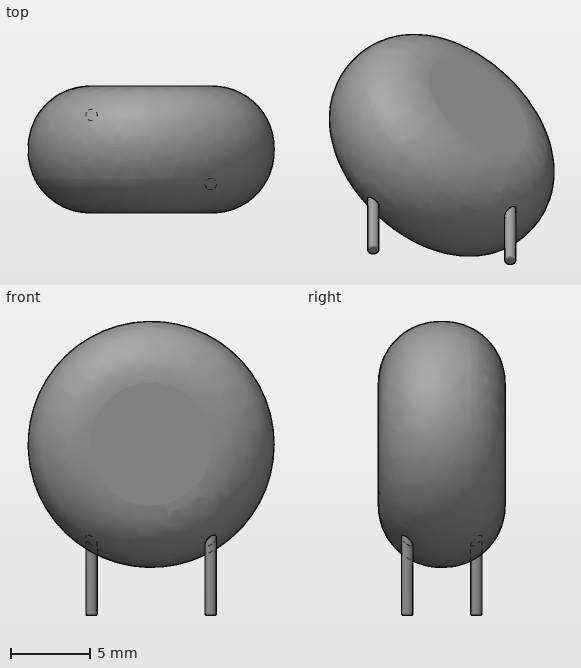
import cadquery as cq

body_diameter = 15.5
body_thickness = 8.0
rim_band_width = 0.2
rim_radius = (body_thickness - rim_band_width) / 2

lead_diameter = 0.72
lead_pitch_x = 7.5
lead_pitch_y = 4.35
lead_length_below_body = 3.03
lead_tip_fillet = 0.13

body_center_z = body_diameter / 2


def make_body():
    """Disc with both rims rounded, leaving a narrow cylindrical band around the middle."""
    disc = (
        cq.Workplane("XZ", origin=(0, 0, body_center_z))
        .circle(body_diameter / 2)
        .extrude(body_thickness / 2, both=True)
    )
    return disc.edges("%CIRCLE").fillet(rim_radius)


def make_lead(x, y):
    """Straight round lead from inside the body down to its rounded tip."""
    return (
        cq.Workplane("XY", origin=(x, y, -lead_length_below_body))
        .circle(lead_diameter / 2)
        .extrude(lead_length_below_body + body_center_z)
        .faces("<Z")
        .edges()
        .fillet(lead_tip_fillet)
    )


result = make_body()
for side in (-1, 1):
    result = result.union(make_lead(side * lead_pitch_x / 2, -side * lead_pitch_y / 2))